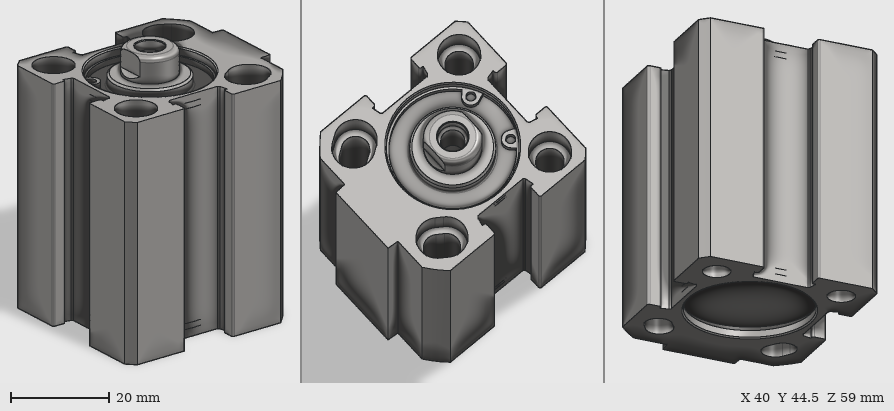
import cadquery as cq
import math

TOTAL_HEIGHT = 59.0
HOUSING_HEIGHT = 53.5
HALF_WIDTH = 20.0
SHOULDER_Y = 22.0
PAD_Y = 24.5
PAD_ROOT_HALF = 8.2
PAD_TIP_HALF = 8.0
CORNER_RADIUS = 27.0

SLOT_HALF = 6.0
SLOT_LIP_ROUND = 0.4
SLOT_LIP_DEPTH = 3.05
SLOT_UNDERCUT_HALF = 6.85
SLOT_FLOOR_HALF = 6.45
SLOT_FLOOR_CHAMFER = 0.35
SIDE_SLOT_DEPTH = 5.25
FRONT_SLOT_DEPTH = 5.2

HOLE_OFFSET = 14.0
HOLE_DIAMETER = 5.8
COUNTERBORE_DIAMETER = 8.8
COUNTERBORE_DEPTH = 5.7
BACK_HOLE_SHIFT_X = 1.0
BACK_HOLE_SHIFT_Y = 1.5

BORE_DIAMETER = 27.0
BORE_CHAMFER = 0.3
GROOVE_DIAMETER = 29.25
RING_TOP_DEPTH = 1.75
RING_THICKNESS = 1.3
COVER_FACE_DEPTH = RING_TOP_DEPTH + RING_THICKNESS
COVER_THICKNESS = 10.05

BOSS_DIAMETER = 17.5
BOSS_TOP_DEPTH = 0.5
BOSS_CHAMFER = 0.5
BOSS_ROOT_FILLET = 0.35

ROD_DIAMETER = 12.0
ROD_ROUND = 1.25
FLAT_HALF = 5.0
FLAT_BOTTOM_Z = 54.5
SOCKET_MOUTH_DIAMETER = 6.6
SOCKET_DIAMETER = 6.25
SOCKET_DEPTH = 2.25
DRILL_DIAMETER = 4.9
SEAT_DEPTH = 0.55
DRILL_DEPTH = 11.8
DRILL_TIP_ANGLE = 118.0

RING_INNER_DIAMETER = 25.95
EAR_X = 6.15
EAR_Y = -10.25
EAR_RADIUS = 1.9
EAR_HOLE_DIAMETER = 2.0
EAR_FLANK_LENGTH = 1.75

COVER_FACE_Z = HOUSING_HEIGHT - COVER_FACE_DEPTH
COVER_BOTTOM_Z = COVER_FACE_Z - COVER_THICKNESS
RING_TOP_Z = HOUSING_HEIGHT - RING_TOP_DEPTH


def cylinder(diameter, bottom, top):
    return cq.Workplane("XY").workplane(offset=bottom).circle(diameter / 2).extrude(top - bottom)


def housing_blank():
    pad = [
        (-PAD_ROOT_HALF, SHOULDER_Y),
        (-PAD_TIP_HALF, PAD_Y),
        (PAD_TIP_HALF, PAD_Y),
        (PAD_ROOT_HALF, SHOULDER_Y),
    ]
    outline = [(HALF_WIDTH, SHOULDER_Y), (HALF_WIDTH, -HALF_WIDTH),
               (-HALF_WIDTH, -HALF_WIDTH), (-HALF_WIDTH, SHOULDER_Y)]
    blank = cq.Workplane("XY").polyline(pad + outline).close().extrude(HOUSING_HEIGHT)
    return blank.intersect(cylinder(2 * CORNER_RADIUS, 0, HOUSING_HEIGHT))


def sensor_slot(turn, depth):
    """Undercut slot in the front face with rounded lips, turned about the bore axis."""
    lip_y = -HALF_WIDTH + SLOT_LIP_DEPTH
    floor_y = -HALF_WIDTH + depth
    undercut = (
        cq.Workplane("XY")
        .polyline([
            (-SLOT_UNDERCUT_HALF, lip_y),
            (SLOT_UNDERCUT_HALF, lip_y),
            (SLOT_FLOOR_HALF, floor_y - SLOT_FLOOR_CHAMFER),
            (SLOT_FLOOR_HALF - SLOT_FLOOR_CHAMFER, floor_y),
            (-SLOT_FLOOR_HALF + SLOT_FLOOR_CHAMFER, floor_y),
            (-SLOT_FLOOR_HALF, floor_y - SLOT_FLOOR_CHAMFER),
        ])
        .close()
        .extrude(HOUSING_HEIGHT)
    )
    slot = undercut.union(slot_mouth())
    return slot.rotate((0, 0, 0), (0, 0, 1), turn)


def slot_mouth():
    """Opening between the slot lips: a block with a rounded bar taken off each side."""
    mouth_y = -HALF_WIDTH + SLOT_LIP_DEPTH / 2
    bar_width = SLOT_HALF
    bar_x = SLOT_HALF + bar_width / 2
    mouth = (
        cq.Workplane("XY", origin=(0, mouth_y, 0))
        .rect(2 * (SLOT_HALF + SLOT_LIP_ROUND), SLOT_LIP_DEPTH)
        .extrude(HOUSING_HEIGHT)
    )
    bars = (
        cq.Workplane("XY", origin=(0, mouth_y, 0))
        .pushPoints([(-bar_x, 0), (bar_x, 0)])
        .rect(bar_width, SLOT_LIP_DEPTH)
        .extrude(HOUSING_HEIGHT)
        .edges("|Z")
        .fillet(SLOT_LIP_ROUND)
    )
    return mouth.cut(bars)


def back_hole(side, diameter, bottom):
    """Stretched hole from the given height up to the top face."""
    length = math.hypot(BACK_HOLE_SHIFT_X, BACK_HOLE_SHIFT_Y)
    angle = math.degrees(math.atan2(BACK_HOLE_SHIFT_Y, -side * BACK_HOLE_SHIFT_X))
    x = side * (HOLE_OFFSET - BACK_HOLE_SHIFT_X / 2)
    y = HOLE_OFFSET + BACK_HOLE_SHIFT_Y / 2
    return (
        cq.Workplane("XY", origin=(x, y, bottom))
        .slot2D(length + diameter, diameter, angle)
        .extrude(HOUSING_HEIGHT - bottom)
    )


def front_hole(side, diameter, bottom):
    return cylinder(diameter, bottom, HOUSING_HEIGHT).translate((side * HOLE_OFFSET, -HOLE_OFFSET, 0))


def bore_end():
    """Upper end of the bore, down to the cover face: chamfered mouth and ring groove."""
    mouth_chamfer = (
        cq.Workplane("XY").workplane(offset=HOUSING_HEIGHT)
        .circle(BORE_DIAMETER / 2 + BORE_CHAMFER)
        .workplane(offset=-BORE_CHAMFER)
        .circle(BORE_DIAMETER / 2)
        .loft()
    )
    groove = cylinder(GROOVE_DIAMETER, COVER_FACE_Z, RING_TOP_Z)
    return cylinder(BORE_DIAMETER, COVER_FACE_Z, HOUSING_HEIGHT).union(mouth_chamfer).union(groove)


def make_housing():
    housing = housing_blank()
    housing = housing.cut(sensor_slot(0, FRONT_SLOT_DEPTH))
    for turn in (-90, 90):
        housing = housing.cut(sensor_slot(turn, SIDE_SLOT_DEPTH))
    counterbore_floor = HOUSING_HEIGHT - COUNTERBORE_DEPTH
    for side in (-1, 1):
        for hole in (back_hole, front_hole):
            housing = housing.cut(hole(side, HOLE_DIAMETER, 0))
            housing = housing.cut(hole(side, COUNTERBORE_DIAMETER, counterbore_floor))
    upper_end = bore_end()
    lower_end = upper_end.mirror("XY").translate((0, 0, HOUSING_HEIGHT))
    cover_seat = cylinder(BORE_DIAMETER, COVER_BOTTOM_Z, COVER_FACE_Z)
    return housing.cut(upper_end).cut(lower_end).cut(cover_seat)


def make_cover():
    boss_top_z = HOUSING_HEIGHT - BOSS_TOP_DEPTH
    boss = cylinder(BOSS_DIAMETER, COVER_BOTTOM_Z, boss_top_z).faces(">Z").chamfer(BOSS_CHAMFER)
    cover = cylinder(BORE_DIAMETER, COVER_BOTTOM_Z, COVER_FACE_Z).union(boss)
    boss_root = cq.selectors.BoxSelector(
        (-BOSS_DIAMETER, -BOSS_DIAMETER, COVER_FACE_Z - BOSS_ROOT_FILLET),
        (BOSS_DIAMETER, BOSS_DIAMETER, COVER_FACE_Z + BOSS_ROOT_FILLET),
    )
    cover = cover.edges(boss_root).edges(cq.selectors.RadiusNthSelector(0)).fillet(BOSS_ROOT_FILLET)
    return cover.cut(cylinder(ROD_DIAMETER, COVER_BOTTOM_Z, boss_top_z))


def wrench_flat_cut(side):
    """Flat across the rod end; its lower edge runs out at 45 degrees."""
    run_out = ROD_DIAMETER / 2 - FLAT_HALF
    profile = [
        (side * FLAT_HALF, TOTAL_HEIGHT),
        (side * FLAT_HALF, FLAT_BOTTOM_Z),
        (side * (FLAT_HALF + run_out), FLAT_BOTTOM_Z - run_out),
        (side * (FLAT_HALF + run_out), TOTAL_HEIGHT),
    ]
    return cq.Workplane("YZ").polyline(profile).close().extrude(ROD_DIAMETER / 2, both=True)


def rod_socket():
    """Thread socket: chamfered mouth, short bore, conical step and a pointed drill hole below it."""
    mouth_chamfer = (SOCKET_MOUTH_DIAMETER - SOCKET_DIAMETER) / 2
    socket_floor = TOTAL_HEIGHT - SOCKET_DEPTH
    drill_floor = TOTAL_HEIGHT - DRILL_DEPTH
    tip = drill_floor - DRILL_DIAMETER / 2 / math.tan(math.radians(DRILL_TIP_ANGLE / 2))
    profile = [
        (0, TOTAL_HEIGHT),
        (SOCKET_MOUTH_DIAMETER / 2, TOTAL_HEIGHT),
        (SOCKET_DIAMETER / 2, TOTAL_HEIGHT - mouth_chamfer),
        (SOCKET_DIAMETER / 2, socket_floor),
        (DRILL_DIAMETER / 2, socket_floor - SEAT_DEPTH),
        (DRILL_DIAMETER / 2, drill_floor),
        (0, tip),
    ]
    return cq.Workplane("XZ").polyline(profile).close().revolve(360, (0, 0), (0, 1))


def make_rod():
    rod = cylinder(ROD_DIAMETER, COVER_BOTTOM_Z, TOTAL_HEIGHT).faces(">Z").edges().fillet(ROD_ROUND)
    for side in (-1, 1):
        rod = rod.cut(wrench_flat_cut(side))
    return rod.cut(rod_socket())


def ring_end_angle():
    """Angle from the -Y axis to the radial ring end, which is tangent to the ear."""
    ear_distance = math.hypot(EAR_X, EAR_Y)
    return math.atan2(EAR_X, -EAR_Y) - math.asin(EAR_RADIUS / ear_distance)


def ring_end_point(radius):
    angle = ring_end_angle()
    return (radius * math.sin(angle), -radius * math.cos(angle))


def ring_ear():
    """Ear on the +X side: round eye, 45 degree outer flank and radial inner flank."""
    eye = cylinder(2 * EAR_RADIUS, COVER_FACE_Z, RING_TOP_Z).translate((EAR_X, EAR_Y, 0))
    mid_radius = (RING_INNER_DIAMETER + GROOVE_DIAMETER) / 4
    inner_tangent = math.sqrt(EAR_X**2 + EAR_Y**2 - EAR_RADIUS**2)
    flank_start = (EAR_X + EAR_RADIUS * math.sqrt(0.5), EAR_Y + EAR_RADIUS * math.sqrt(0.5))
    flank_step = EAR_FLANK_LENGTH * math.sqrt(0.5)
    flank_end = (flank_start[0] + flank_step, flank_start[1] - flank_step)
    web = (
        cq.Workplane("XY", origin=(0, 0, COVER_FACE_Z))
        .polyline([
            (EAR_X, EAR_Y),
            ring_end_point(inner_tangent),
            ring_end_point(mid_radius),
            flank_end,
            flank_start,
        ])
        .close()
        .extrude(RING_THICKNESS)
    )
    eye_hole = cylinder(EAR_HOLE_DIAMETER, COVER_FACE_Z, RING_TOP_Z).translate((EAR_X, EAR_Y, 0))
    return eye.union(web).cut(eye_hole)


def make_ring():
    disc = cylinder(GROOVE_DIAMETER, COVER_FACE_Z, RING_TOP_Z)
    band = disc.cut(cylinder(RING_INNER_DIAMETER, COVER_FACE_Z, RING_TOP_Z))
    gap_x, gap_y = ring_end_point(GROOVE_DIAMETER)
    gap = (
        cq.Workplane("XY", origin=(0, 0, COVER_FACE_Z))
        .polyline([(0, 0), (gap_x, gap_y), (-gap_x, gap_y)])
        .close()
        .extrude(RING_THICKNESS)
    )
    ear = ring_ear()
    return band.cut(gap).union(ear).union(ear.mirror("YZ"))


housing = make_housing()
cover = make_cover()
rod = make_rod()
ring = make_ring()
result = cq.Compound.makeCompound([housing.val(), cover.val(), rod.val(), ring.val()])